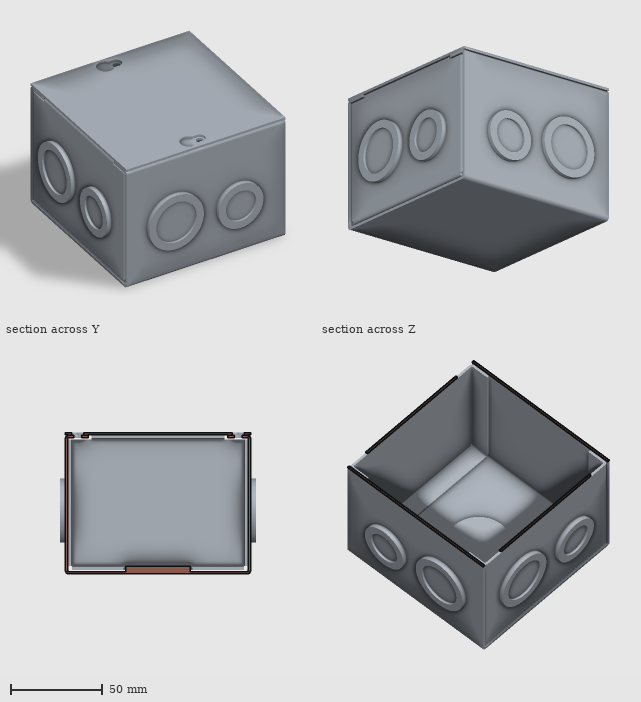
import cadquery as cq

OVERALL_WIDTH = 107.5
OVERALL_HEIGHT = 77.6
BOX_WIDTH = 101.6
SHEET = 1.5
BEND_RADIUS = 2.2
HALF_WIDTH = BOX_WIDTH / 2
WRAP_HEIGHT = OVERALL_HEIGHT - SHEET

WRAP_FLANGE = 12.8
SCREW_HOLE_DIAMETER = 4.2
FLOOR_DISC_DIAMETER = 35.8

PANEL_FLOOR_GAP = 0.9
PANEL_SIDE_GAP = 0.2
PANEL_LIP = 12.9
TOP_NOTCH_SPAN = 36.3
TOP_NOTCH_DEPTH = 2.6
PANEL_HALF_WIDTH = HALF_WIDTH - SHEET - PANEL_SIDE_GAP
PANEL_BOTTOM = SHEET + PANEL_FLOOR_GAP

KNOCKOUT_HEIGHT = (OVERALL_WIDTH - BOX_WIDTH) / 2
KNOCKOUT_RECESS = SHEET
KNOCKOUT_OFFSET = 20.6
LARGE_DIAMETER = 35.0
LARGE_RECESS_DIAMETER = 25.8
SMALL_DIAMETER = 28.6
SMALL_RECESS_DIAMETER = 19.4
KNOCKOUT_STEP = 3.2
PANEL_KNOCKOUT_Z = 37.1
WALL_KNOCKOUT_Z = 34.8

KEYHOLE_X = 44.0
KEYHOLE_SLOT_WIDTH = 6.5
KEYHOLE_HEAD_DIAMETER = 10.3
KEYHOLE_LENGTH = 7.0


def box_between(x_range, y_range, z_range):
    """An axis-aligned box between the given limits."""
    (x0, x1), (y0, y1), (z0, z1) = x_range, y_range, z_range
    return cq.Workplane("XY").box(x1 - x0, y1 - y0, z1 - z0, centered=False).translate((x0, y0, z0))


def knockout(face, diameter, recess_diameter):
    """A raised disc on the given face plane, recessed in the middle."""
    disc = cq.Workplane(face).circle(diameter / 2).extrude(KNOCKOUT_HEIGHT)
    recess = (
        cq.Workplane(face)
        .workplane(offset=KNOCKOUT_HEIGHT - KNOCKOUT_RECESS)
        .circle(recess_diameter / 2)
        .extrude(KNOCKOUT_RECESS)
    )
    return disc.cut(recess)


def knockout_pair(face_point, normal, across, large_z):
    """Large knockout on the -across side of a face and small knockout on its +across side."""
    sizes = (
        (-KNOCKOUT_OFFSET, large_z, LARGE_DIAMETER, LARGE_RECESS_DIAMETER),
        (KNOCKOUT_OFFSET, large_z - KNOCKOUT_STEP, SMALL_DIAMETER, SMALL_RECESS_DIAMETER),
    )
    pair = cq.Workplane("XY")
    for offset, height, diameter, recess_diameter in sizes:
        centre = cq.Vector(*face_point) + cq.Vector(*across) * offset + cq.Vector(0, 0, height)
        face = cq.Plane(origin=centre.toTuple(), xDir=across, normal=normal)
        pair = pair.add(knockout(face, diameter, recess_diameter))
    return pair


def wrap():
    """Folded sheet: floor, side walls with knockouts, and flanges along the top."""
    body = box_between((-HALF_WIDTH, HALF_WIDTH), (-HALF_WIDTH, HALF_WIDTH), (0, WRAP_HEIGHT))
    body = body.edges("|Y").fillet(BEND_RADIUS)
    inner = box_between(
        (-HALF_WIDTH + SHEET, HALF_WIDTH - SHEET), (-HALF_WIDTH, HALF_WIDTH), (SHEET, WRAP_HEIGHT - SHEET)
    )
    body = body.cut(inner.edges("|Y").fillet(BEND_RADIUS - SHEET))

    flange_end = HALF_WIDTH - WRAP_FLANGE
    opening = box_between(
        (-flange_end, flange_end), (-HALF_WIDTH, HALF_WIDTH), (WRAP_HEIGHT - SHEET, WRAP_HEIGHT)
    )
    screw_holes = (
        cq.Workplane("XY")
        .workplane(offset=WRAP_HEIGHT - SHEET)
        .pushPoints([(-KEYHOLE_X, 0), (KEYHOLE_X, 0)])
        .circle(SCREW_HOLE_DIAMETER / 2)
        .extrude(SHEET)
    )
    body = body.cut(opening).cut(screw_holes)

    floor_disc = (
        cq.Workplane("XY").workplane(offset=SHEET).circle(FLOOR_DISC_DIAMETER / 2).extrude(KNOCKOUT_HEIGHT)
    )
    body = body.union(floor_disc)
    for side in (-1, 1):
        pair = knockout_pair((side * HALF_WIDTH, 0, 0), (side, 0, 0), (0, 1, 0), WALL_KNOCKOUT_Z)
        for disc in pair.vals():
            body = body.union(cq.Workplane(disc))
    return body


def front_panel():
    """Pan closing the -Y end of the wrap, with its lips pointing toward +Y."""
    front = -HALF_WIDTH
    back = front + PANEL_LIP
    body = box_between((-PANEL_HALF_WIDTH, PANEL_HALF_WIDTH), (front, back), (PANEL_BOTTOM, WRAP_HEIGHT))
    body = body.faces("<Y").edges().fillet(BEND_RADIUS)
    inner = box_between(
        (-PANEL_HALF_WIDTH + SHEET, PANEL_HALF_WIDTH - SHEET),
        (front + SHEET, back),
        (PANEL_BOTTOM + SHEET, WRAP_HEIGHT - SHEET),
    )
    body = body.cut(inner.faces("<Y").edges().fillet(BEND_RADIUS - SHEET))

    for side in (-1, 1):
        outer_x = side * PANEL_HALF_WIDTH
        relief_x = sorted((outer_x, side * (PANEL_HALF_WIDTH - BEND_RADIUS)))
        notch_x = sorted((outer_x, side * TOP_NOTCH_SPAN))
        relief = box_between(relief_x, (front, back), (PANEL_BOTTOM, PANEL_BOTTOM + BEND_RADIUS))
        notch = box_between(notch_x, (front, back), (WRAP_HEIGHT - TOP_NOTCH_DEPTH, WRAP_HEIGHT))
        body = body.cut(relief).cut(notch)

    for disc in knockout_pair((0, front, 0), (0, -1, 0), (1, 0, 0), PANEL_KNOCKOUT_Z).vals():
        body = body.union(cq.Workplane(disc))
    return body


def lid():
    """Flat sheet over the wrap with two keyholes."""
    plate = box_between((-HALF_WIDTH, HALF_WIDTH), (-HALF_WIDTH, HALF_WIDTH), (WRAP_HEIGHT, OVERALL_HEIGHT))
    for x in (-KEYHOLE_X, KEYHOLE_X):
        base = cq.Workplane("XY").workplane(offset=WRAP_HEIGHT)
        slot_end = base.center(x, 0).circle(KEYHOLE_SLOT_WIDTH / 2).extrude(SHEET)
        slot = base.center(x, -KEYHOLE_LENGTH / 2).rect(KEYHOLE_SLOT_WIDTH, KEYHOLE_LENGTH).extrude(SHEET)
        head = base.center(x, -KEYHOLE_LENGTH).circle(KEYHOLE_HEAD_DIAMETER / 2).extrude(SHEET)
        plate = plate.cut(slot_end).cut(slot).cut(head)
    return plate


panels = []
for turn in (0, 180):
    panels.append(front_panel().rotate((0, 0, 0), (0, 0, 1), turn).val())

result = cq.Compound.makeCompound([wrap().val(), lid().val(), *panels])